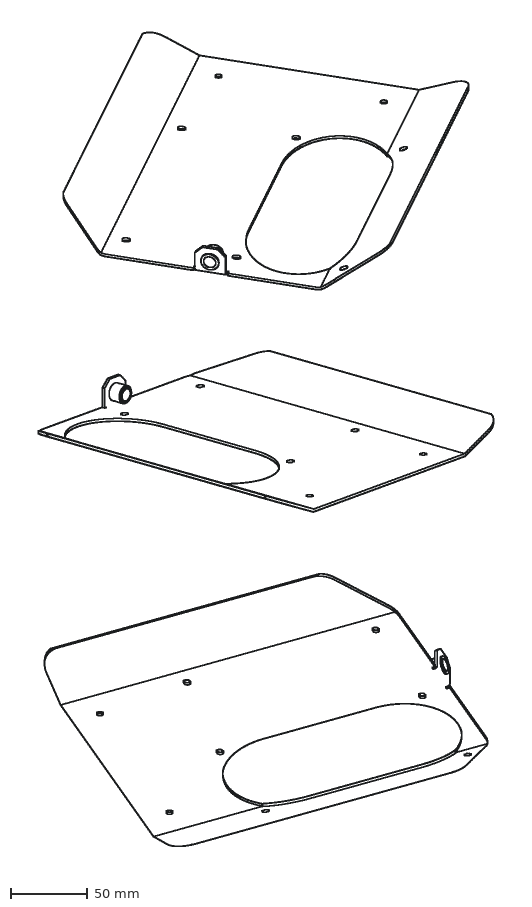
import cadquery as cq
import math


SHEET = 2.0
WIDTH = 223.4
FRONT_Y = 2.0
BACK_Y = 242.0
BEND_X = 75.0
WING_ANGLE = 24.0
BACK_CORNER_R = 13.5
FRONT_SLOPE_DEPTH = 35.8
SLOPE_OUTER_R = 19.4
SLOPE_INNER_R = 11.0

OPENING_X = 48.0
OPENING_Y = 94.9
OPENING_WIDTH = 73.5
OPENING_LENGTH = 165.0
OPENING_END_LENGTH = 42.4

ROUND_HOLE_D = 4.4
ROUND_HOLE_X = 56.1
ROUND_HOLE_Y = 222.2
OBLONG_HOLE_LENGTH = 5.3
OBLONG_HOLE_WIDTH = 4.4
HOLE_ROW_Y = 21.8
LEFT_HOLE_X = -63.0
LEFT_BACK_HOLE_Y = 156.8
OPENING_HOLE_X = 12.0
OPENING_BACK_HOLE_Y = 166.5
WING_HOLE_X = 85.0

TAB_WIDTH = 20.5
TAB_TOP_Z = 20.0
TAB_FRONT_Y = 1.0
TAB_CHAMFER = 5.0
TAB_BEND_INNER_R = 0.5
RELIEF_WIDTH = 1.5
RELIEF_DEPTH = 2.2

BUSHING_D = 12.0
BUSHING_BORE_D = 8.2
BUSHING_LENGTH = 12.5
BUSHING_Z = 10.0
BUSHING_CHAMFER = 0.7

HALF_WIDTH = WIDTH / 2
SLOPE = math.radians(WING_ANGLE)
WING_RISE = (HALF_WIDTH - BEND_X) * math.tan(SLOPE)
TIP_X = HALF_WIDTH - SHEET * math.sin(SLOPE)
TIP_Z = WING_RISE + SHEET * math.cos(SLOPE)
INNER_BEND_X = BEND_X - SHEET * math.tan(SLOPE / 2)
TAB_BEND_OUTER_R = TAB_BEND_INNER_R + SHEET
BEND_END_Y = TAB_FRONT_Y + TAB_BEND_OUTER_R
CUT_HEIGHT = 2 * TAB_TOP_Z


def extrude_profile(points):
    """Sheet section in X and Z, running from the front edge to the back edge."""
    return (
        cq.Workplane("XZ", origin=(0, FRONT_Y, 0))
        .polyline(points)
        .close()
        .extrude(FRONT_Y - BACK_Y)
    )


def make_floor():
    return extrude_profile(
        [(-BEND_X, 0), (BEND_X, 0), (INNER_BEND_X, SHEET), (-INNER_BEND_X, SHEET)]
    )


def make_right_wing():
    return extrude_profile(
        [(BEND_X, 0), (HALF_WIDTH, WING_RISE), (TIP_X, TIP_Z), (INNER_BEND_X, SHEET)]
    )


def wing_plane(x):
    """Workplane on the upper surface of the right wing, extended inwards if need be."""
    return cq.Plane(
        origin=(x, 0, SHEET + (x - INNER_BEND_X) * math.tan(SLOPE)),
        xDir=(math.cos(SLOPE), 0, math.sin(SLOPE)),
        normal=(-math.sin(SLOPE), 0, math.cos(SLOPE)),
    )


def make_plan_outline():
    """Tall block with the rounded and slanted plan outline of the tray."""
    slope_end_y = FRONT_Y + FRONT_SLOPE_DEPTH
    outline = [
        (-BEND_X, FRONT_Y),
        (BEND_X, FRONT_Y),
        (HALF_WIDTH, slope_end_y),
        (HALF_WIDTH, BACK_Y),
        (-HALF_WIDTH, BACK_Y),
        (-HALF_WIDTH, slope_end_y),
    ]
    block = cq.Workplane("XY").polyline(outline).close().extrude(CUT_HEIGHT)
    corners = [
        (BEND_X, FRONT_Y, SLOPE_INNER_R),
        (HALF_WIDTH, slope_end_y, SLOPE_OUTER_R),
        (HALF_WIDTH, BACK_Y, BACK_CORNER_R),
    ]
    for x, y, radius in corners:
        for side in (-1, 1):
            corner = cq.selectors.NearestToPointSelector((side * x, y, CUT_HEIGHT / 2))
            block = block.edges("|Z").edges(corner).fillet(radius)
    return block


def make_opening(plane, width):
    """Cutter square to the given plane, whose origin is level with Y = 0."""
    straight = OPENING_LENGTH - 2 * OPENING_END_LENGTH
    middle = cq.Workplane(plane).center(0, OPENING_Y)
    opening = middle.rect(width, straight).extrude(SHEET, both=True)
    for end in (-1, 1):
        rounded_end = (
            middle.center(0, end * straight / 2)
            .ellipse(width / 2, OPENING_END_LENGTH)
            .extrude(SHEET, both=True)
        )
        opening = opening.union(rounded_end)
    return opening


def make_folded_sheet():
    """Floor and two wings, with the opening cut square to the floor and the right wing."""
    floor_plane = cq.Plane(origin=(OPENING_X, 0, 0))
    floor = make_floor().cut(make_opening(floor_plane, OPENING_WIDTH))
    wing = make_right_wing()
    left_wing = wing.mirror("YZ")
    slanted_width = OPENING_WIDTH / math.cos(SLOPE)
    right_wing = wing.cut(make_opening(wing_plane(OPENING_X), slanted_width))
    return floor.union(left_wing).union(right_wing)


def cut_holes(tray):
    """Vertical holes in the floor and holes square to the surface of the right wing."""
    floor = cq.Workplane("XY")
    round_holes = (
        floor.pushPoints([(side * ROUND_HOLE_X, ROUND_HOLE_Y) for side in (-1, 1)])
        .circle(ROUND_HOLE_D / 2)
        .extrude(SHEET)
    )
    oblong_points = [
        (LEFT_HOLE_X, HOLE_ROW_Y),
        (LEFT_HOLE_X, LEFT_BACK_HOLE_Y),
        (OPENING_HOLE_X, HOLE_ROW_Y),
        (OPENING_HOLE_X, OPENING_BACK_HOLE_Y),
    ]
    oblong_holes = (
        floor.pushPoints(oblong_points)
        .slot2D(OBLONG_HOLE_LENGTH, OBLONG_HOLE_WIDTH)
        .extrude(SHEET)
    )
    wing_holes = (
        cq.Workplane(wing_plane(WING_HOLE_X))
        .pushPoints([(0, HOLE_ROW_Y), (0, OPENING_BACK_HOLE_Y)])
        .slot2D(OBLONG_HOLE_LENGTH, OBLONG_HOLE_WIDTH)
        .extrude(SHEET, both=True)
    )
    return tray.cut(round_holes).cut(oblong_holes).cut(wing_holes)


def make_tab():
    """Upright plate with clipped top corners, joined to the floor by a round bend."""
    diagonal = math.sqrt(0.5)
    bend_y = BEND_END_Y
    bend_z = TAB_BEND_OUTER_R
    profile = (
        cq.Workplane("YZ", origin=(-TAB_WIDTH / 2, 0, 0))
        .moveTo(FRONT_Y + RELIEF_DEPTH, 0)
        .lineTo(bend_y, 0)
        .threePointArc(
            (bend_y - TAB_BEND_OUTER_R * diagonal, bend_z - TAB_BEND_OUTER_R * diagonal),
            (TAB_FRONT_Y, bend_z),
        )
        .lineTo(TAB_FRONT_Y, TAB_TOP_Z)
        .lineTo(TAB_FRONT_Y + SHEET, TAB_TOP_Z)
        .lineTo(TAB_FRONT_Y + SHEET, bend_z)
        .threePointArc(
            (bend_y - TAB_BEND_INNER_R * diagonal, bend_z - TAB_BEND_INNER_R * diagonal),
            (bend_y, SHEET),
        )
        .lineTo(FRONT_Y + RELIEF_DEPTH, SHEET)
        .close()
    )
    return profile.extrude(TAB_WIDTH).edges("|Y and >Z").chamfer(TAB_CHAMFER)


def make_bushing_cylinder(diameter):
    return (
        cq.Workplane("XZ", origin=(0, 0, BUSHING_Z))
        .circle(diameter / 2)
        .extrude(-BUSHING_LENGTH)
    )


def make_tray():
    tray = make_folded_sheet().intersect(make_plan_outline())
    tray = cut_holes(tray)
    tab_gap = cq.Workplane("XY").box(
        TAB_WIDTH + 2 * RELIEF_WIDTH, RELIEF_DEPTH, SHEET, centered=(True, False, False)
    )
    tray = tray.cut(tab_gap.translate((0, FRONT_Y, 0)))
    return tray.union(make_tab()).cut(make_bushing_cylinder(BUSHING_D))


def make_bushing():
    bushing = make_bushing_cylinder(BUSHING_D).faces(">Y").chamfer(BUSHING_CHAMFER)
    return bushing.cut(make_bushing_cylinder(BUSHING_BORE_D))


tray = make_tray()
bushing = make_bushing()
result = cq.Compound.makeCompound([tray.solids().val(), bushing.solids().val()])